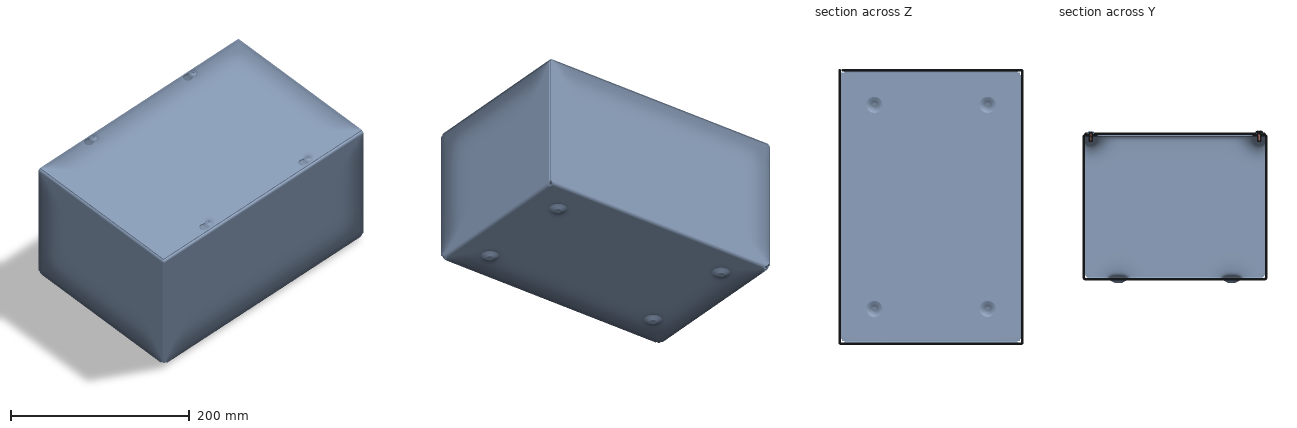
import cadquery as cq
import math

box_width = 206.38
box_length = 307.98
box_height = 163.03

wall = 1.52
upright_bend = 2.4
top_bend = 3.05
bottom_bend = 3.6

cover_width = 202.0
cover_length = 304.8
cover_thickness = 1.4

head_diameter = 9.75
head_height = 2.4
shank_diameter = 4.17
shank_length = 9.5
recess_span = 4.6
recess_arm_width = 0.5
recess_depth = 1.4
screw_spacing_x = 188.8
screw_spacing_y = 152.4
left_screw_turn = -22.0

slot_width = 8.8
keyhole_diameter = 10.7
keyhole_offset = 7.6
screw_hole_diameter = 4.19

flange_depth = 16.0

foot_spacing_x = 127.0
foot_spacing_y = 228.6
foot_height = 3.18
foot_base_diameter = 21.0
foot_tip_diameter = 8.8

relief_reach = 7.7
relief_height = 5.2
seam_relief_reach = 4.0
seam_gap = 1.9

cover_top = box_height + cover_thickness
half_width = box_width / 2
half_length = box_length / 2


def rectangle_corners(spacing_x, spacing_y):
    return [(x * spacing_x / 2, y * spacing_y / 2) for x in (-1, 1) for y in (-1, 1)]


screw_points = rectangle_corners(screw_spacing_x, screw_spacing_y)
foot_points = rectangle_corners(foot_spacing_x, foot_spacing_y)


def bent_block(inset):
    """Block inset from the box outline, rounded on every edge but the upright one at the -X, +Y seam."""
    width = box_width - 2 * inset
    length = box_length - 2 * inset
    height = box_height - 2 * inset
    block = cq.Workplane("XY").box(width, length, height, centered=(True, True, False))
    seam_edge = cq.selectors.NearestToPointSelector((-width / 2, length / 2, height / 2))
    block = block.edges(cq.selectors.StringSyntaxSelector("|Z") - seam_edge).fillet(upright_bend - inset)
    block = block.faces(">Z").edges().fillet(top_bend - inset)
    block = block.faces("<Z").edges().fillet(bottom_bend - inset)
    return block.translate((0, 0, inset))


def feet(base_diameter, tip_diameter, top):
    """Four downward cones, each one foot height deep, starting at the given level."""
    cone = cq.Solid.makeCone(base_diameter / 2, tip_diameter / 2, foot_height, dir=cq.Vector(0, 0, -1))
    places = cq.Workplane("XY").workplane(offset=top).pushPoints(foot_points)
    return places.eachpoint(lambda place: cone.moved(place))


def relief_wedge(plane, reach):
    """Sloped notch through one bottom bend, starting at the corner of the -X, -Y quadrant."""
    wedge = cq.Workplane(plane).polyline([(0, 0), (reach, 0), (0, reach)]).close().extrude(bottom_bend)
    height_limit = cq.Workplane("XY").box(2 * reach, 2 * reach, relief_height, centered=(True, True, False))
    return wedge.intersect(height_limit)


def corner_relief(side_x, side_y):
    """Notches that free the two bottom bends from each other at one corner of the box."""
    at_seam = (side_x, side_y) == (-1, 1)
    y_wall_notch = relief_wedge(cq.Plane((0, 0, 0), (1, 0, 0), (0, -1, 0)), relief_reach)
    y_wall_notch = y_wall_notch.translate((0, bottom_bend, 0))
    x_wall_notch = relief_wedge("YZ", seam_relief_reach if at_seam else relief_reach)
    if at_seam:
        y_wall_notch = y_wall_notch.cut(cq.Workplane("XY").box(2 * wall, box_length, box_height))
    relief = y_wall_notch.union(x_wall_notch).translate((-half_width, -half_length, 0))
    if side_x > 0:
        relief = relief.mirror("YZ")
    if side_y > 0:
        relief = relief.mirror("XZ")
    return relief


def make_box():
    box = bent_block(0).cut(bent_block(wall))

    opening = (
        cq.Workplane("XY")
        .workplane(offset=box_height - 2 * wall)
        .rect(box_width - 2 * flange_depth, box_length - 2 * flange_depth)
        .extrude(3 * wall)
    )
    box = box.cut(opening)

    box = box.union(feet(foot_base_diameter, foot_tip_diameter, 0))
    box = box.cut(feet(foot_base_diameter - 2 * wall, foot_tip_diameter - 2 * wall, wall))

    seam = cq.Workplane("XY").box(seam_gap, top_bend, box_height, centered=False)
    box = box.cut(seam.translate((wall - half_width, half_length - top_bend, 0)))

    for side_x in (-1, 1):
        for side_y in (-1, 1):
            box = box.cut(corner_relief(side_x, side_y))

    screw_holes = (
        cq.Workplane("XY")
        .workplane(offset=box_height - 2 * wall)
        .pushPoints(screw_points)
        .circle(screw_hole_diameter / 2)
        .extrude(3 * wall)
    )
    return box.cut(screw_holes)


def make_cover():
    """Flat plate with a keyhole at each screw; the wide end lies on the -Y side of the screw."""
    cover = (
        cq.Workplane("XY")
        .workplane(offset=box_height)
        .rect(cover_width, cover_length)
        .extrude(cover_thickness)
    )
    narrow_ends = [(x, y - keyhole_offset / 2) for x, y in screw_points]
    wide_ends = [(x, y - keyhole_offset) for x, y in screw_points]
    top = cover.faces(">Z").workplane(origin=(0, 0, cover_top))
    cover = top.pushPoints(narrow_ends).slot2D(keyhole_offset + slot_width, slot_width, 90).cutThruAll()
    top = cover.faces(">Z").workplane(origin=(0, 0, cover_top))
    return top.pushPoints(wide_ends).hole(keyhole_diameter)


def make_screw(x, y):
    """Domed cross-recessed screw whose head rests on the cover."""
    shank = cq.Workplane("XY").circle(shank_diameter / 2).extrude(-shank_length)
    head_radius = head_diameter / 2
    dome_radius = (head_radius**2 + head_height**2) / (2 * head_height)
    mid_x = head_radius / 2
    mid_z = math.sqrt(dome_radius**2 - mid_x**2) - dome_radius + head_height
    head = (
        cq.Workplane("XZ")
        .lineTo(head_radius, 0)
        .threePointArc((mid_x, mid_z), (0, head_height))
        .close()
        .revolve(360, (0, 0, 0), (0, 1, 0))
    )
    screw = head.union(shank)
    turn = left_screw_turn if x < 0 else 0
    for angle in (turn, turn + 90):
        arm = (
            cq.Workplane("XY")
            .workplane(offset=head_height - recess_depth)
            .transformed(rotate=(0, 0, angle))
            .rect(recess_span, recess_arm_width)
            .extrude(2 * recess_depth)
        )
        screw = screw.cut(arm)
    return screw.translate((x, y, cover_top))


box = make_box()
cover = make_cover()
screws = [make_screw(x, y) for x, y in screw_points]

result = cq.Compound.makeCompound([box.val(), cover.val(), *[screw.val() for screw in screws]])